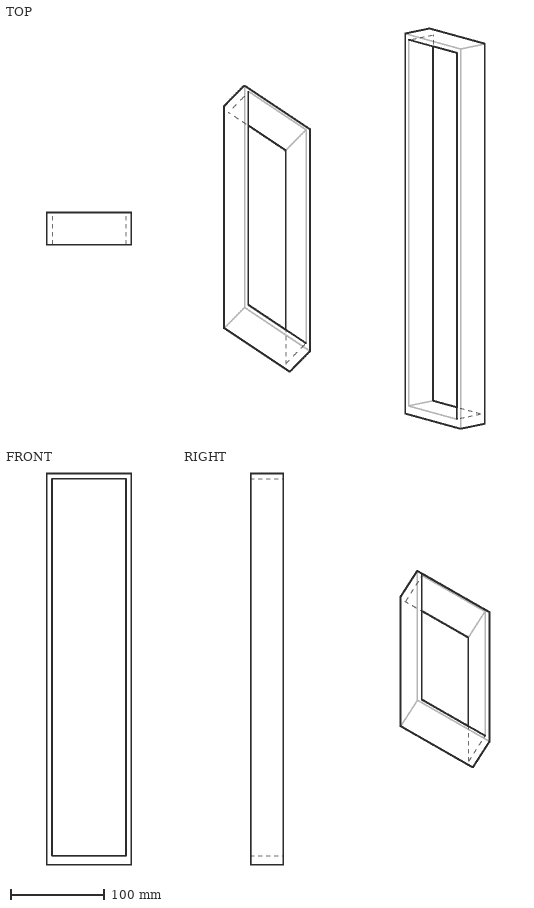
import cadquery as cq

width = 91.0
depth = 35.0
height = 420.0

wall = 6.0
bottom_rail = 10.0

edge_radius = 0.4

opening_width = width - 2 * wall
opening_height = height - wall - bottom_rail


def block(size_x, size_z, base_z):
    """Full-depth block centred on X and Y, standing at base_z."""
    return (
        cq.Workplane("XY")
        .workplane(offset=base_z)
        .rect(size_x, depth)
        .extrude(size_z)
    )


outer_block = block(width, height, 0)
opening = block(opening_width, opening_height, bottom_rail)
frame = outer_block.cut(opening)

result = frame.edges().fillet(edge_radius)